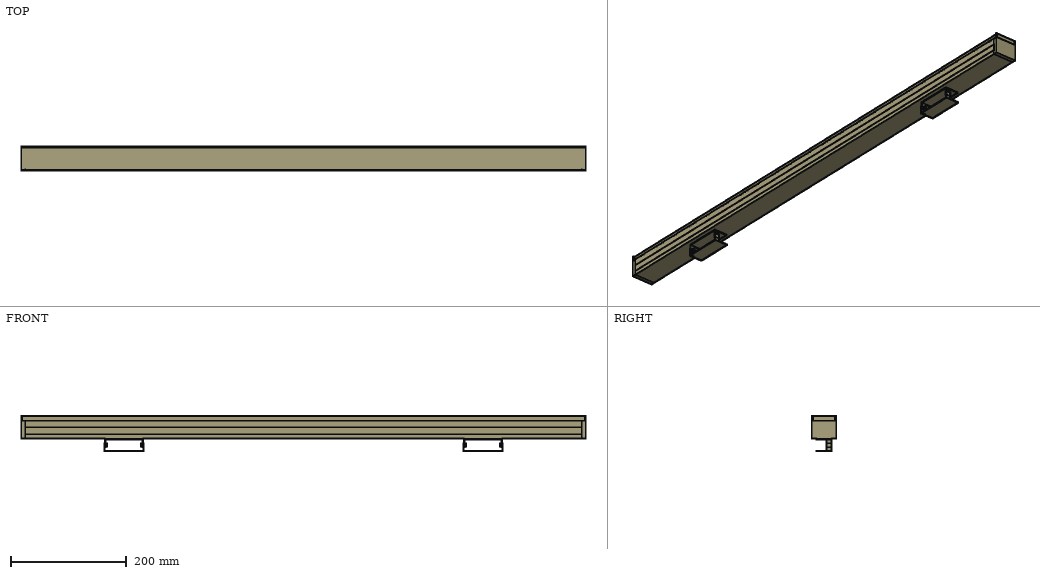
import cadquery as cq

bar_length = 978.0
bar_width = 42.5
bar_depth = 39.5
overall_height = 61.5

lens_width = 37.9
lens_height = 8.0
lens_end_inset = 0.5

cap_length = 7.0
ear_length = 2.5
ear_width = 2.0

band_top = -20.0
band_bottom = -31.6
band_depth = 0.3

bracket_spacing = 621.5
sheet = 1.5
plate_width = 26.5
leg_width = 9.0
foot_length = 69.0
clip_length = foot_length - 2 * sheet
pivot_height = 11.0
leg_overlap = 3.5
pivot_radius = 3.0
pivot_boss_length = 2.5

pivot_z = -overall_height + pivot_height
leg_y = (plate_width - leg_width) / 2


def block(length, width, bottom, top):
    """A box centred on X and Y that spans bottom to top in Z."""
    return cq.Workplane("XY").workplane(offset=bottom).rect(length, width).extrude(top - bottom)


def make_lens():
    return block(bar_length - 2 * lens_end_inset, lens_width, -lens_height, 0)


def make_housing():
    length = bar_length - 2 * cap_length
    housing = block(length, bar_width, -bar_depth, -lens_height)
    core = block(length, bar_width - 2 * band_depth, band_bottom, band_top)
    band = block(length, bar_width, band_bottom, band_top).cut(core)
    return housing.cut(band)


def make_end_cap(side):
    cap = block(cap_length, bar_width, -bar_depth, -lens_height)
    ears = block(ear_length, bar_width, -bar_depth, 0)
    ears = ears.cut(block(ear_length, bar_width - 2 * ear_width, -lens_height, 0))
    ears = ears.translate((side * (cap_length - ear_length) / 2, 0, 0))
    return cap.union(ears).translate((side * (bar_length - cap_length) / 2, 0, 0))


def make_legs(outer_length, bottom, top):
    """A pair of upright legs at the two ends of a bracket plate, flush with its +Y edge."""
    legs = block(outer_length, leg_width, bottom, top)
    gap = block(outer_length - 2 * sheet, leg_width, bottom, top)
    return legs.cut(gap).translate((0, leg_y, 0))


def make_clip(x):
    """Plate against the bar's underside, with legs down and a pivot boss inside each leg."""
    plate = block(clip_length, plate_width, -bar_depth - sheet, -bar_depth)
    clip = plate.union(make_legs(clip_length, pivot_z - leg_overlap, -bar_depth))
    inner_face = clip_length / 2 - sheet
    for side in (-1, 1):
        boss = (
            cq.Workplane("YZ", origin=(side * inner_face, leg_y, pivot_z))
            .circle(pivot_radius)
            .extrude(-side * pivot_boss_length)
        )
        clip = clip.union(boss)
    return clip.translate((x, 0, 0))


def make_foot(x):
    """Base plate with two legs up, which stand outside the legs of the clip."""
    plate = block(foot_length, plate_width, -overall_height, -overall_height + sheet)
    foot = plate.union(make_legs(foot_length, -overall_height, pivot_z + leg_overlap))
    return foot.translate((x, 0, 0))


lens = make_lens()
housing = make_housing()
end_caps = [make_end_cap(side) for side in (-1, 1)]
bracket_places = [side * bracket_spacing / 2 for side in (-1, 1)]
clips = [make_clip(x) for x in bracket_places]
feet = [make_foot(x) for x in bracket_places]

bodies = [lens, housing, *end_caps, *clips, *feet]
result = cq.Compound.makeCompound([body.val() for body in bodies])